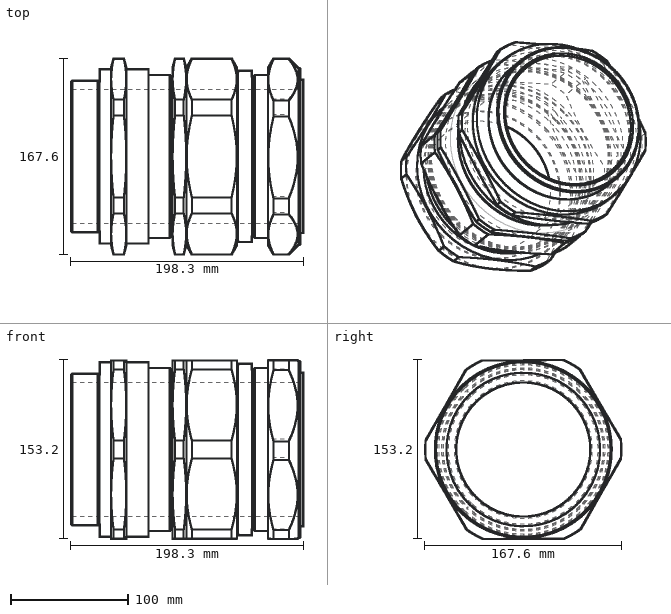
import cadquery as cq
import math


SPIGOT_RADIUS = 64.8
SPIGOT_END = 22.3
EDGE_BREAK = 1.0
SPIGOT_NECK_RADIUS = SPIGOT_RADIUS - EDGE_BREAK
COLLAR_RADIUS = 74.6
COLLAR_START = 24.3
COLLAR_END = 66.1
BARREL_RADIUS = 69.8
BARREL_END = 84.9
BARREL_NECK_RADIUS = 68.2
REAR_FLANGE_RADIUS = 73.3
REAR_FLANGE_NECK_RADIUS = REAR_FLANGE_RADIUS - EDGE_BREAK
REAR_FLANGE_START = 142.6
REAR_FLANGE_END = 154.2
REAR_NECK_RADIUS = 68.2
REAR_BARREL_START = 156.1
EXIT_RING_RADIUS = 65.6
OVERALL_LENGTH = 198.3

BORE_RADIUS = 57.2
MOUTH_RADIUS = 58.9
MOUTH_DEPTH = 1.2

SIDES = 6
ACROSS_FLATS = 152.4
CORNER_RADIUS = 83.82
FACE_RADIUS = 75.6
SHALLOW_BEVEL = 15
MEDIUM_BEVEL = 30
STEEP_BEVEL = 45
FRONT_HEX_START = 34.0
FRONT_HEX_END = 47.2
THIN_HEX_START = 86.5
THIN_HEX_END = 98.3
LONG_HEX_END = 141.7
CAP_HEX_START = 168.0
CAP_HEX_END = 194.0
CAP_LIP_END = 196.0
CAP_TURN = 0.66


def turned(profile):
    """Revolve a (station, radius) outline about the X axis, closed down to the axis."""
    first_station = profile[0][0]
    last_station = profile[-1][0]
    outline = [(first_station, 0), *profile, (last_station, 0)]
    return cq.Workplane("XY").polyline(outline).close().revolve(360, (0, 0), (1, 0))


def hexagon(start, end, start_bevel, end_bevel, turn=0):
    """Hexagon along X with corners on the Y axis and conical bevels at both ends."""
    corner_drop = CORNER_RADIUS - FACE_RADIUS
    start_length = corner_drop * math.tan(math.radians(start_bevel))
    end_length = corner_drop * math.tan(math.radians(end_bevel))
    sharp_diameter = ACROSS_FLATS / math.cos(math.pi / SIDES)
    prism = cq.Workplane("YZ", origin=(start, 0, 0)).polygon(SIDES, sharp_diameter).extrude(end - start)
    envelope = turned([
        (start, FACE_RADIUS),
        (start + start_length, CORNER_RADIUS),
        (end - end_length, CORNER_RADIUS),
        (end, FACE_RADIUS),
    ])
    return prism.intersect(envelope).rotate((0, 0, 0), (1, 0, 0), turn)


def turned_body():
    return turned([
        (0, SPIGOT_NECK_RADIUS),
        (EDGE_BREAK, SPIGOT_RADIUS),
        (SPIGOT_END, SPIGOT_RADIUS),
        (SPIGOT_END + EDGE_BREAK, SPIGOT_NECK_RADIUS),
        (COLLAR_START, SPIGOT_NECK_RADIUS),
        (COLLAR_START, COLLAR_RADIUS),
        (COLLAR_END, COLLAR_RADIUS),
        (COLLAR_END, BARREL_RADIUS),
        (BARREL_END - EDGE_BREAK, BARREL_RADIUS),
        (BARREL_END, BARREL_RADIUS - EDGE_BREAK),
        (BARREL_END, BARREL_NECK_RADIUS),
        (LONG_HEX_END, BARREL_NECK_RADIUS),
        (LONG_HEX_END, REAR_FLANGE_NECK_RADIUS),
        (REAR_FLANGE_START, REAR_FLANGE_NECK_RADIUS),
        (REAR_FLANGE_START, REAR_FLANGE_RADIUS),
        (REAR_FLANGE_END, REAR_FLANGE_RADIUS),
        (REAR_FLANGE_END, REAR_NECK_RADIUS),
        (REAR_BARREL_START, REAR_NECK_RADIUS),
        (REAR_BARREL_START, BARREL_RADIUS - EDGE_BREAK),
        (REAR_BARREL_START + EDGE_BREAK, BARREL_RADIUS),
        (CAP_HEX_END, BARREL_RADIUS),
        (CAP_HEX_END, FACE_RADIUS),
        (CAP_LIP_END - EDGE_BREAK, FACE_RADIUS),
        (CAP_LIP_END, FACE_RADIUS - EDGE_BREAK),
        (CAP_LIP_END, EXIT_RING_RADIUS),
        (OVERALL_LENGTH, EXIT_RING_RADIUS),
    ])


def bore():
    return turned([
        (0, MOUTH_RADIUS),
        (MOUTH_DEPTH, BORE_RADIUS),
        (OVERALL_LENGTH, BORE_RADIUS),
    ])


result = (
    turned_body()
    .union(hexagon(FRONT_HEX_START, FRONT_HEX_END, SHALLOW_BEVEL, SHALLOW_BEVEL))
    .union(hexagon(THIN_HEX_START, THIN_HEX_END, SHALLOW_BEVEL, SHALLOW_BEVEL))
    .union(hexagon(THIN_HEX_END, LONG_HEX_END, MEDIUM_BEVEL, MEDIUM_BEVEL))
    .union(hexagon(CAP_HEX_START, CAP_HEX_END, MEDIUM_BEVEL, STEEP_BEVEL, CAP_TURN))
    .cut(bore())
)